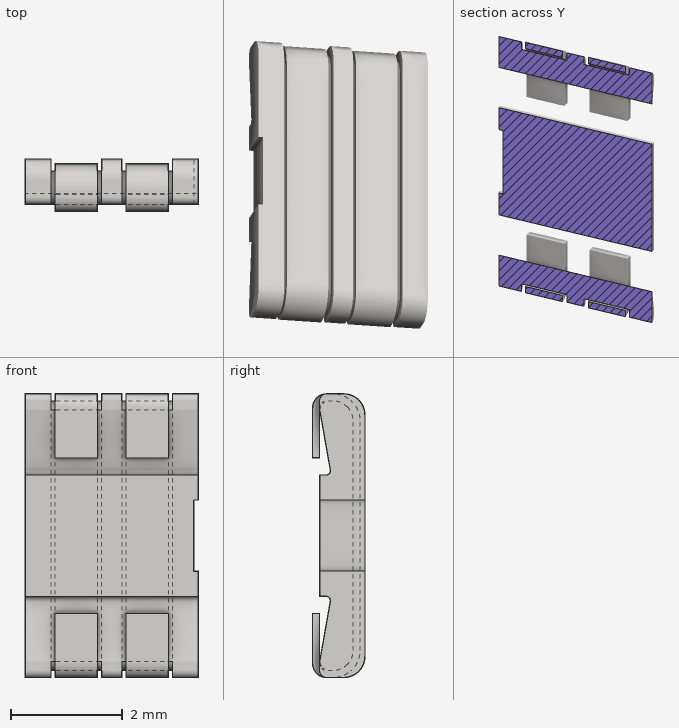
import math

import cadquery as cq

width = 3.1
total_depth = 0.94
height = 5.08
half_height = height / 2

strap_thickness = 0.127
strap_width = 0.76
strap_pitch = 1.27
strap_front_radius = 0.254
strap_foot_length = 1.15
strap_centers = (-strap_pitch / 2, strap_pitch / 2)

front_y = -total_depth / 2 + strap_thickness
rail_back_y = total_depth / 2
rail_front_radius = strap_front_radius - strap_thickness
rail_back_radius = 0.38
side_rail_width = 0.465
middle_rail_width = 0.36

core_depth = 0.6
core_half_height = half_height - strap_thickness
core_back_y = front_y + core_depth
core_front_radius = 0.18
core_back_radius = 0.365

relief_angle = math.radians(10)
relief_start = 0.285
relief_end = 1.453
relief_corner_radius = 0.075

notch_depth = 0.08
notch_length = 1.27


def rounded_slab(x_center, slab_width, y_front, y_back, half_z, front_radius, back_radius):
    """Block centred on Z = 0 whose ends are rounded at the front and the back."""
    slab = cq.Workplane("XY").box(slab_width, y_back - y_front, 2 * half_z)
    slab = slab.translate((x_center, (y_front + y_back) / 2, 0))
    slab = slab.edges("|X and <Y").fillet(front_radius)
    return slab.edges("|X and >Y").fillet(back_radius)


def body_blank():
    """Core and its three rails, before the reliefs and the notch are cut."""
    blank = rounded_slab(
        0, width, front_y, core_back_y, core_half_height, core_front_radius, core_back_radius
    )
    side_rail_x = (width - side_rail_width) / 2
    rails = (
        (-side_rail_x, side_rail_width),
        (0, middle_rail_width),
        (side_rail_x, side_rail_width),
    )
    for rail_x, rail_width in rails:
        rail = rounded_slab(
            rail_x, rail_width, front_y, rail_back_y, half_height, rail_front_radius, rail_back_radius
        )
        blank = blank.union(rail)
    return blank


def front_relief():
    """Wedge across the full width at the upper end, deepest at its inner step."""
    start_z = half_height - relief_start
    step_z = half_height - relief_end
    step_depth = (start_z - step_z) * math.tan(relief_angle)
    wedge = (
        cq.Workplane("YZ")
        .moveTo(front_y, start_z)
        .lineTo(front_y + step_depth, step_z)
        .lineTo(front_y, step_z)
        .close()
        .extrude(width / 2, both=True)
    )
    return wedge.edges("|X and >Y").fillet(relief_corner_radius)


def side_notch():
    """Notch cutter, straight through the depth on the +X side."""
    return cq.Workplane("XY").box(2 * notch_depth, 2 * total_depth, notch_length).translate((width / 2, 0, 0))


def strap(x_center):
    """C-shaped strap: a long back, rounded ends and a foot at each end of the front."""
    outer_front_y = front_y - strap_thickness
    outer = rounded_slab(
        x_center,
        strap_width,
        outer_front_y,
        core_back_y + strap_thickness,
        half_height,
        strap_front_radius,
        core_back_radius + strap_thickness,
    )
    inner = rounded_slab(
        x_center,
        strap_width,
        front_y,
        core_back_y,
        core_half_height,
        strap_front_radius - strap_thickness,
        core_back_radius,
    )
    foot_gap = height - 2 * strap_foot_length
    opening = cq.Workplane("XY").box(strap_width, 2 * strap_thickness, foot_gap)
    opening = opening.translate((x_center, outer_front_y, 0))
    return outer.cut(inner).cut(opening)


upper_relief = front_relief()
lower_relief = upper_relief.mirror("XY")
result = body_blank().cut(upper_relief).cut(lower_relief).cut(side_notch())
for strap_x in strap_centers:
    result = result.union(strap(strap_x))